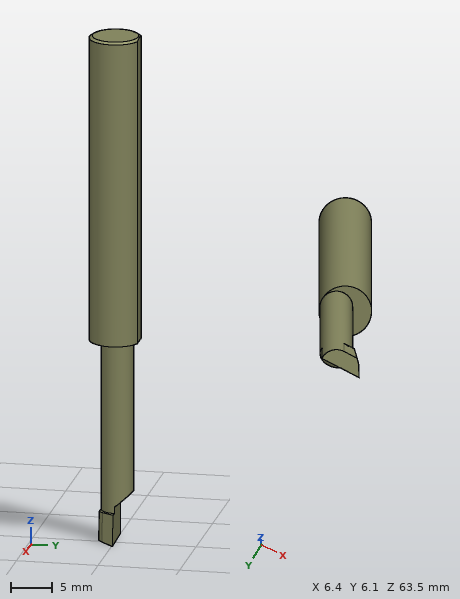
import cadquery as cq

length = 63.5
shank_radius = 3.2
shank_bottom = 25.4
flat_y = 2.9
chamfer_height = 0.25
chamfer_width = 0.4

neck_radius = 1.95
neck_x = neck_radius - shank_radius

rake_top = 4.6
runout_height = 1.65

head_height = 3.8
tip_x = 1.9
front_x = 0.6
relief_x = 1.1
relief_y = -1.45
side_taper = 0.4

end_rise_x = 0.2
end_rise_y = 0.25


def make_shank():
    base = cq.Workplane("XY", origin=(0, 0, shank_bottom))
    shank = base.circle(shank_radius).extrude(length - shank_bottom)
    shank = shank.faces(">Z").edges().chamfer(chamfer_height, chamfer_width)
    flat_cut = cq.Workplane("XY").box(
        2 * shank_radius, shank_radius, length, centered=(True, False, False)
    )
    return shank.cut(flat_cut.translate((0, flat_y, 0)))


def make_neck():
    neck = cq.Workplane("XY").center(neck_x, 0).circle(neck_radius).extrude(shank_bottom)
    runout = (
        cq.Workplane("YZ", origin=(neck_x, 0, 0))
        .moveTo(0, 0)
        .lineTo(0, rake_top)
        .lineTo(neck_radius, rake_top + runout_height)
        .lineTo(neck_radius, 0)
        .close()
        .extrude(neck_radius, both=True)
    )
    return neck.cut(runout)


def head_outline(workplane, lean):
    return workplane.polyline(
        [
            (neck_x, 0),
            (neck_x, -neck_radius),
            (front_x - lean, -neck_radius),
            (relief_x - lean, relief_y),
            (tip_x - lean, 0),
        ]
    ).close()


def make_head():
    base = head_outline(cq.Workplane("XY"), 0)
    top = base.workplane(offset=head_height)
    return head_outline(top, side_taper).loft(ruled=True)


def make_end_relief():
    slope_x = end_rise_x / (tip_x + shank_radius)
    slope_y = end_rise_y / neck_radius
    end_plane = cq.Plane(origin=(tip_x, 0, 0), xDir=(1, 0, -slope_x), normal=(-slope_x, -slope_y, -1))
    block_side = 4 * shank_radius
    return cq.Workplane(end_plane).rect(block_side, block_side).extrude(shank_radius)


tool = make_shank().union(make_neck()).union(make_head())
result = tool.cut(make_end_relief())